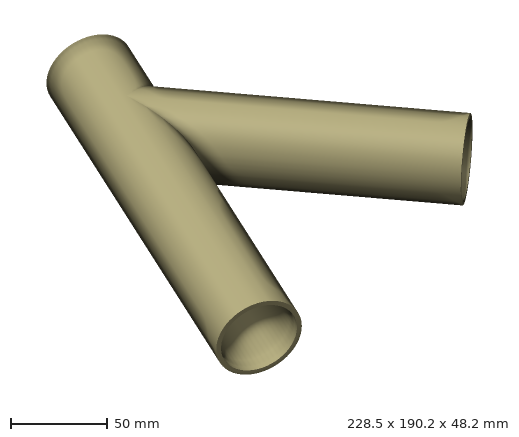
import cadquery as cq

main_length = 228.5
outer_diameter = 48.2
inner_diameter = 42.7
branch_position = 51.0
branch_length = 177.9
branch_angle = 60.0


def main_cylinder(diameter):
    """Full-length cylinder along X, starting at X = 0."""
    return cq.Workplane("YZ").circle(diameter / 2).extrude(main_length)


def branch_cylinder(diameter):
    """Inclined cylinder running from the axis crossing to the branch end."""
    return (
        cq.Workplane("YZ")
        .circle(diameter / 2)
        .extrude(branch_length)
        .rotate((0, 0, 0), (0, 0, 1), branch_angle)
        .translate((branch_position, 0, 0))
    )


outer_body = main_cylinder(outer_diameter).union(branch_cylinder(outer_diameter))
result = outer_body.cut(main_cylinder(inner_diameter)).cut(branch_cylinder(inner_diameter))